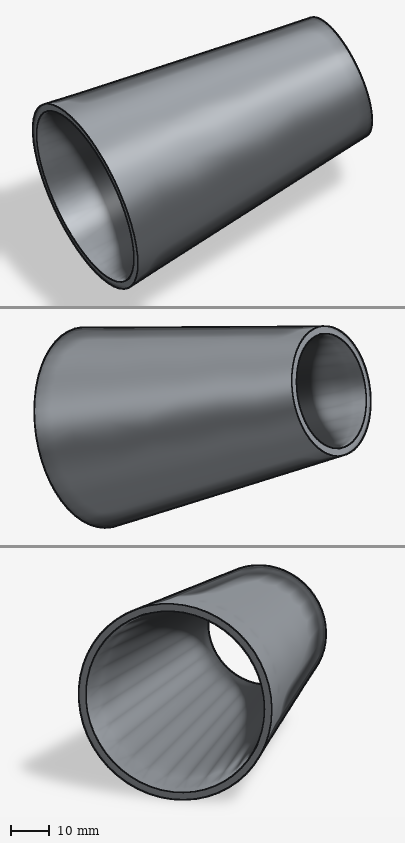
import cadquery as cq

length = 76.0
large_diameter = 52.0
small_diameter = 33.7
wall = 2.0

large_radius = large_diameter / 2
small_radius = small_diameter / 2

front_y = -length / 2
back_y = length / 2

wall_section = (
    cq.Workplane("XY")
    .moveTo(large_radius - wall, front_y)
    .lineTo(large_radius, front_y)
    .lineTo(small_radius, back_y)
    .lineTo(small_radius - wall, back_y)
    .close()
)

result = wall_section.revolve(360, (0, 0), (0, 1))